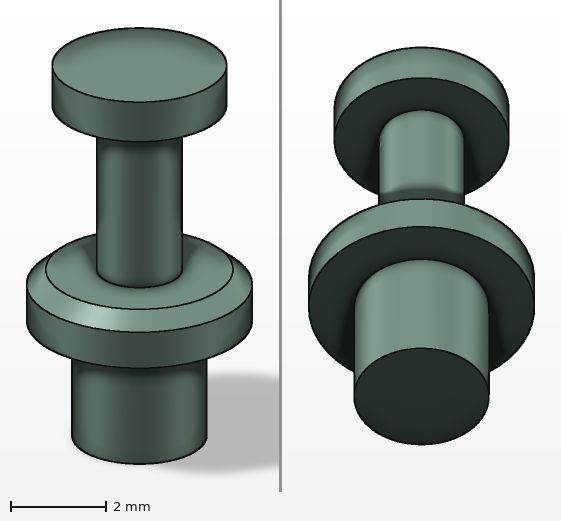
import cadquery as cq

total_height = 8.61

shank_diameter = 2.84
shank_height = 2.68

collar_diameter = 4.75
collar_height = 1.18
bevel_height = 0.345
bevel_width = 0.405

neck_diameter = 1.8
head_diameter = 3.68
head_height = 0.92

collar_top = shank_height + collar_height
bevel_start = collar_top - bevel_height
head_bottom = total_height - head_height

shank_radius = shank_diameter / 2
collar_radius = collar_diameter / 2
collar_top_radius = collar_radius - bevel_width
neck_radius = neck_diameter / 2
head_radius = head_diameter / 2

profile = (
    cq.Workplane("XZ")
    .moveTo(0, 0)
    .lineTo(shank_radius, 0)
    .lineTo(shank_radius, shank_height)
    .lineTo(collar_radius, shank_height)
    .lineTo(collar_radius, bevel_start)
    .lineTo(collar_top_radius, collar_top)
    .lineTo(neck_radius, collar_top)
    .lineTo(neck_radius, head_bottom)
    .lineTo(head_radius, head_bottom)
    .lineTo(head_radius, total_height)
    .lineTo(0, total_height)
    .close()
)

result = profile.revolve(360, (0, 0, 0), (0, 1, 0))